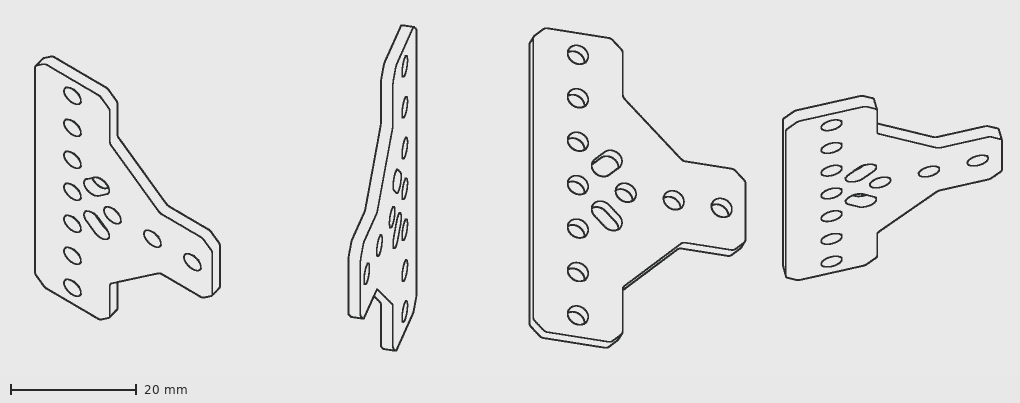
import cadquery as cq
import math

PITCH = 8.0
HOLE_DIAMETER = 3.4
THICKNESS = 2.0
ARM_WIDTH = 15.0
UPRIGHT_LENGTH = 56.0
HOLES_EACH_WAY = 3
TIP_MARGIN = 4.0
GUSSET_LEG = 10.0
DIAGONAL_ANGLE = 45.0
CORNER_CHAMFER = 2.0
EDGE_RADIUS = 1.0

half_width = ARM_WIDTH / 2
half_length = UPRIGHT_LENGTH / 2
tip_x = HOLES_EACH_WAY * PITCH + TIP_MARGIN

slot_start = PITCH / 2
slot_end = PITCH * math.cos(math.radians(DIAGONAL_ANGLE))


def plate():
    """T-shaped plate with webs in the inner corners, chamfered ends and rounded corners."""
    upper_half = [
        (-half_width, half_length - CORNER_CHAMFER),
        (-half_width + CORNER_CHAMFER, half_length),
        (half_width - CORNER_CHAMFER, half_length),
        (half_width, half_length - CORNER_CHAMFER),
        (half_width, half_width + GUSSET_LEG),
        (half_width + GUSSET_LEG, half_width),
        (tip_x - CORNER_CHAMFER, half_width),
        (tip_x, half_width - CORNER_CHAMFER),
    ]
    lower_half = [(x, -z) for x, z in reversed(upper_half)]
    outline = cq.Workplane("XZ").polyline(upper_half + lower_half).close()
    return outline.extrude(-THICKNESS).edges("|Y").fillet(EDGE_RADIUS)


def round_holes():
    """Through holes along the upright and out along the side arm."""
    steps = range(-HOLES_EACH_WAY, HOLES_EACH_WAY + 1)
    upright_centres = [(0, step * PITCH) for step in steps]
    arm_centres = [(step * PITCH, 0) for step in range(1, HOLES_EACH_WAY + 1)]
    centres = cq.Workplane("XZ").pushPoints(upright_centres + arm_centres)
    return centres.circle(HOLE_DIAMETER / 2).extrude(-THICKNESS)


def diagonal_slot(side):
    """Through slot at 45 degrees, above (side = 1) or below (side = -1) the side arm axis."""
    middle = (slot_start + slot_end) / 2
    overall_length = (slot_end - slot_start) * math.sqrt(2) + HOLE_DIAMETER
    sketch = cq.Workplane("XZ").center(middle, side * middle)
    return sketch.slot2D(overall_length, HOLE_DIAMETER, side * DIAGONAL_ANGLE).extrude(-THICKNESS)


result = plate().cut(round_holes())
for side in (1, -1):
    result = result.cut(diagonal_slot(side))